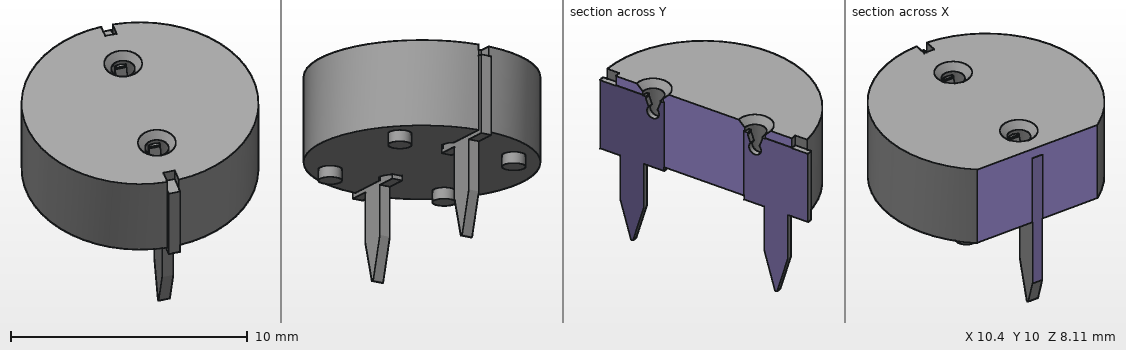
import cadquery as cq
import math

HOUSING_DIAMETER = 10.0
HOUSING_HEIGHT = 3.8
HOUSING_RADIUS = HOUSING_DIAMETER / 2

SOCKET_OFFSET = 2.55
SOCKET_DIAMETER = 1.0
COUNTERSINK_DIAMETER = 1.6
COUNTERSINK_ANGLE = 90

PEG_DIAMETER = 1.0
PEG_HEIGHT = 0.5
PEG_OFFSET = 2.82

TERMINAL_SPAN = 10.4
TERMINAL_THICKNESS = 0.5
TERMINAL_OUTER_X = TERMINAL_SPAN / 2
TERMINAL_INNER_X = 2.0
TERMINAL_TOP_Z = HOUSING_HEIGHT - 0.5
SHOULDER_DROP = 0.2
NOTCH_INNER_X = 4.4

LEG_CENTER_X = 3.6
LEG_WIDTH = 1.2
TAPER_START_Z = -2.42
LEG_TIP_Z = -4.31
TIP_RADIUS = 0.07

MOUTH_WIDTH = 0.71
MOUTH_DEPTH = 0.09
NECK_WIDTH = 0.42
LEAD_IN_DEPTH = 0.4
SEAT_RADIUS = 0.29

SIDES = (-1, 1)


def box_between(x_start, x_end, z_start, z_end):
    """Box as thick as a terminal, centred on Y = 0."""
    return (
        cq.Workplane("XY")
        .box(x_end - x_start, TERMINAL_THICKNESS, z_end - z_start)
        .translate(((x_start + x_end) / 2, 0, (z_start + z_end) / 2))
    )


def on_side(shape, side):
    """Leave a shape on the +X side, or turn it half a turn about Z to the -X side."""
    return shape if side > 0 else shape.rotate((0, 0, 0), (0, 0, 1), 180)


def make_housing():
    body = cq.Workplane("XY").circle(HOUSING_RADIUS).extrude(HOUSING_HEIGHT)

    body = (
        body.faces(">Z")
        .workplane(origin=(0, 0, HOUSING_HEIGHT))
        .pushPoints([(side * SOCKET_OFFSET, 0) for side in SIDES])
        .cskHole(SOCKET_DIAMETER, COUNTERSINK_DIAMETER, COUNTERSINK_ANGLE)
    )

    slot = box_between(TERMINAL_INNER_X, TERMINAL_OUTER_X, 0, TERMINAL_TOP_Z)
    notch = box_between(NOTCH_INNER_X, TERMINAL_OUTER_X, TERMINAL_TOP_Z, HOUSING_HEIGHT)
    for side in SIDES:
        body = body.cut(on_side(slot, side)).cut(on_side(notch, side))

    pegs = (
        cq.Workplane("XY")
        .rect(2 * PEG_OFFSET, 2 * PEG_OFFSET, forConstruction=True)
        .vertices()
        .circle(PEG_DIAMETER / 2)
        .extrude(-PEG_HEIGHT)
    )
    return body.union(pegs).solids().val()


def extrude_plate(outline):
    """Extrude a closed XZ outline to the terminal thickness about Y = 0."""
    return outline.extrude(TERMINAL_THICKNESS / 2, both=True)


def make_leg():
    """Pointed solder leg; the two tapered edges are tangent to the round tip."""
    half_width = LEG_WIDTH / 2
    tip_center_z = LEG_TIP_Z + TIP_RADIUS
    taper_height = TAPER_START_Z - tip_center_z
    tangent_angle = math.atan2(taper_height, half_width) - math.acos(
        TIP_RADIUS / math.hypot(half_width, taper_height)
    )
    tangent_x = TIP_RADIUS * math.cos(tangent_angle)
    tangent_z = tip_center_z + TIP_RADIUS * math.sin(tangent_angle)
    outline = (
        cq.Workplane("XZ", origin=(LEG_CENTER_X, 0, 0))
        .moveTo(-half_width, 0)
        .lineTo(-half_width, TAPER_START_Z)
        .lineTo(-tangent_x, tangent_z)
        .threePointArc((0, LEG_TIP_Z), (tangent_x, tangent_z))
        .lineTo(half_width, TAPER_START_Z)
        .lineTo(half_width, 0)
        .close()
    )
    return extrude_plate(outline)


def make_fork_opening():
    """Opening in the plate under the socket; the seat arc starts at the neck corners."""
    half_mouth = MOUTH_WIDTH / 2
    half_neck = NECK_WIDTH / 2
    lead_in_z = TERMINAL_TOP_Z - MOUTH_DEPTH
    neck_z = lead_in_z - LEAD_IN_DEPTH
    seat_center_z = neck_z - math.sqrt(SEAT_RADIUS**2 - half_neck**2)
    outline = (
        cq.Workplane("XZ", origin=(SOCKET_OFFSET, 0, 0))
        .moveTo(-half_mouth, TERMINAL_TOP_Z)
        .lineTo(-half_mouth, lead_in_z)
        .lineTo(-half_neck, neck_z)
        .threePointArc((0, seat_center_z - SEAT_RADIUS), (half_neck, neck_z))
        .lineTo(half_mouth, lead_in_z)
        .lineTo(half_mouth, TERMINAL_TOP_Z)
        .close()
    )
    return extrude_plate(outline)


def make_terminal(side):
    plate = box_between(TERMINAL_INNER_X, TERMINAL_OUTER_X, -SHOULDER_DROP, TERMINAL_TOP_Z)
    terminal = plate.union(make_leg()).cut(make_fork_opening())
    return on_side(terminal, side).solids().val()


housing = make_housing()
terminals = [make_terminal(side) for side in SIDES]

result = cq.Compound.makeCompound([housing, *terminals])